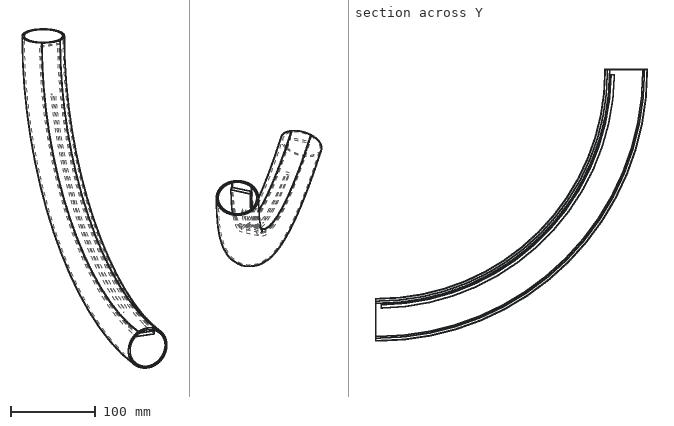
import cadquery as cq
import math

overall = 321.0
outer_diameter = 50.0
wall = 2.2
straight_end = 2.5

slot_width = 24.0
slot_clearance = 0.3
plate_thickness = 4.0
plate_inner_offset = 13.8
plate_setback = 6.5
web_thickness = 4.0
web_setback = 64.2

outer_radius = outer_diameter / 2
inner_radius = outer_radius - wall
cover_width = slot_width - 2 * slot_clearance
half_size = overall / 2
bend_radius = overall - outer_radius - straight_end
axis_x = outer_radius - half_size
bend_x = axis_x + bend_radius
bend_z = half_size - straight_end
plate_outer_offset = plate_inner_offset + plate_thickness
cutter_overrun = 3.2
cover_reach = outer_radius + cutter_overrun


def centreline():
    """Quarter bend with a short straight length at each end, from top to right."""
    diagonal = bend_radius * math.sqrt(0.5)
    return (
        cq.Workplane("XZ")
        .moveTo(axis_x, half_size)
        .lineTo(axis_x, bend_z)
        .threePointArc((bend_x - diagonal, bend_z - diagonal), (bend_x, bend_z - bend_radius))
        .lineTo(half_size, bend_z - bend_radius)
    )


def end_plane():
    """Workplane on the top pipe end, centred on the pipe axis."""
    return cq.Workplane("XY", origin=(axis_x, 0, half_size))


def swept_round(radius):
    return end_plane().circle(radius).sweep(centreline())


def swept_bar(inner_offset, outer_offset, width):
    """Rectangular bar following the pipe, between two offsets from its axis."""
    middle = (inner_offset + outer_offset) / 2
    depth = outer_offset - inner_offset
    return end_plane().center(middle, 0).rect(depth, width).sweep(centreline())


def trim_ends(body, setback):
    """Keep only what lies at least the setback away from both pipe ends."""
    kept_size = 2 * overall
    kept = cq.Workplane("XY").box(kept_size, kept_size, kept_size).translate(
        (half_size - setback - overall, 0, half_size - setback - overall)
    )
    return body.intersect(kept)


def make_tube():
    return swept_round(outer_radius).cut(swept_round(inner_radius))


def make_pipe():
    """Bent pipe with a slot along the inside of the bend."""
    return make_tube().cut(swept_bar(plate_inner_offset, cover_reach, slot_width))


def make_cover():
    """Curved cap lying in the slot, joined by a web to a flat plate inside the pipe."""
    cap = make_tube().intersect(swept_bar(plate_inner_offset, cover_reach, cover_width))
    plate = trim_ends(swept_bar(plate_inner_offset, plate_outer_offset, cover_width), plate_setback)
    web_top = inner_radius + wall / 2
    web_bottom = plate_inner_offset + plate_thickness / 2
    web = trim_ends(swept_bar(web_bottom, web_top, web_thickness), web_setback)
    return cap.union(plate).union(web)


pipe = make_pipe()
cover = make_cover()
result = cq.Compound.makeCompound([*pipe.solids().vals(), *cover.solids().vals()])